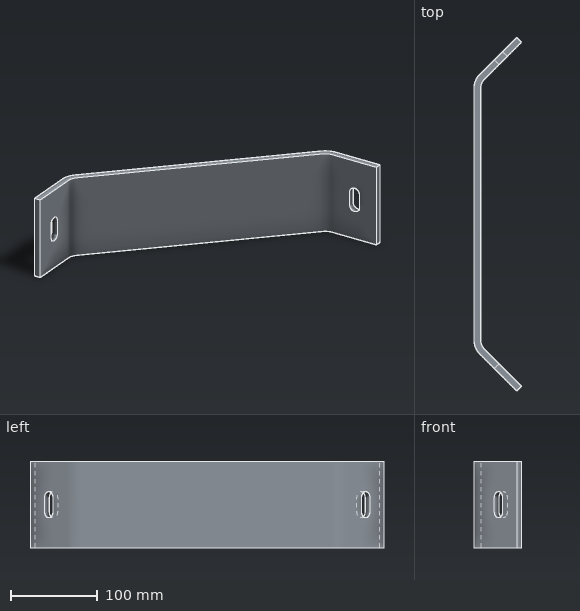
import cadquery as cq
import math

thickness = 8.0
strip_width = 100.0
overall_length = 408.05
overall_depth = 55.15
bend_angle = 45.0
outer_radius = 23.0
slot_width = 13.5
slot_length = 30.0
slot_edge_distance = 30.0

inner_radius = outer_radius - thickness
half_bend = bend_angle / 2
sin_bend = math.sin(math.radians(bend_angle))
cos_bend = math.cos(math.radians(bend_angle))
half_length = overall_length / 2
flange_length = (
    overall_depth - outer_radius * (1 - cos_bend) - thickness * cos_bend
) / sin_bend
half_web = half_length - outer_radius * sin_bend - flange_length * cos_bend


def bend_point(radius, turn, side):
    """Point on a bend arc, turned by this many degrees from the web towards the flange."""
    x = outer_radius - radius * math.cos(math.radians(turn))
    y = half_web + radius * math.sin(math.radians(turn))
    return (x, side * y)


def flange_end(radius, side):
    """Free end of the flange face that leaves the bend at this radius."""
    x, y = bend_point(radius, bend_angle, side)
    return (x + flange_length * sin_bend, y + side * flange_length * cos_bend)


def make_strip():
    """Flat bar with both ends bent towards +X, standing on its edge about Z = 0."""
    profile = (
        cq.Workplane("XY")
        .moveTo(*bend_point(outer_radius, 0, -1))
        .lineTo(*bend_point(outer_radius, 0, 1))
        .threePointArc(
            bend_point(outer_radius, half_bend, 1),
            bend_point(outer_radius, bend_angle, 1),
        )
        .lineTo(*flange_end(outer_radius, 1))
        .lineTo(*flange_end(inner_radius, 1))
        .lineTo(*bend_point(inner_radius, bend_angle, 1))
        .threePointArc(
            bend_point(inner_radius, half_bend, 1),
            bend_point(inner_radius, 0, 1),
        )
        .lineTo(*bend_point(inner_radius, 0, -1))
        .threePointArc(
            bend_point(inner_radius, half_bend, -1),
            bend_point(inner_radius, bend_angle, -1),
        )
        .lineTo(*flange_end(inner_radius, -1))
        .lineTo(*flange_end(outer_radius, -1))
        .lineTo(*bend_point(outer_radius, bend_angle, -1))
        .threePointArc(
            bend_point(outer_radius, half_bend, -1),
            bend_point(outer_radius, 0, -1),
        )
        .close()
    )
    return profile.extrude(strip_width / 2, both=True)


def make_slot_cutter(side):
    """Upright slot cutter, square to the flange on the given Y side."""
    end_x, end_y = flange_end(outer_radius, side)
    slot_plane = cq.Plane(
        origin=(
            end_x - slot_edge_distance * sin_bend,
            end_y - side * slot_edge_distance * cos_bend,
            0,
        ),
        xDir=(0, 0, 1),
        normal=(cos_bend, -side * sin_bend, 0),
    )
    return (
        cq.Workplane(slot_plane)
        .workplane(offset=-thickness)
        .slot2D(slot_length, slot_width)
        .extrude(3 * thickness)
    )


result = make_strip()
for flange_side in (-1, 1):
    result = result.cut(make_slot_cutter(flange_side))